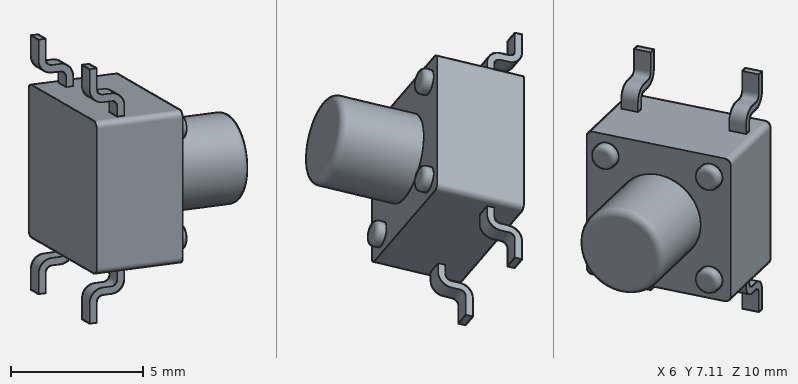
import cadquery as cq

body_width = 6.0
body_depth = 3.6
corner_radius = 0.25

button_diameter = 3.5
button_height = 3.41
button_round = 0.3

rivet_diameter = 1.0
rivet_height = 0.4
rivet_round = 0.2
rivet_offset = 2.16

lead_span = 10.0
lead_width = 0.7
lead_offset = 2.25
lead_thickness = 0.3
bend_inner_radius = 0.25
bend_outer_radius = bend_inner_radius + lead_thickness
foot_standoff = 0.1
lead_back = 1.35
shelf_inner = 3.64
lead_overlap = 0.2


def round_stud(x, z, diameter, height, edge_round):
    """Cylinder standing on the button side of the housing, with a rounded rim."""
    stud = cq.Workplane("XY").circle(diameter / 2).extrude(height)
    stud = stud.faces(">Z").edges().fillet(edge_round)
    return stud.rotate((0, 0, 0), (1, 0, 0), -90).translate((x, body_depth, z))


def upper_lead(x):
    """S-bent strip from the top wall to a foot just ahead of the housing front."""
    root = body_width / 2 - lead_overlap
    tip = lead_span / 2
    shelf_outer = shelf_inner + lead_thickness
    lead_front = lead_back - lead_thickness
    foot_front = -foot_standoff
    foot_back = foot_front + lead_thickness
    strip = (
        cq.Workplane("YZ", origin=(x - lead_width / 2, 0, 0))
        .moveTo(lead_back, root)
        .lineTo(lead_back, shelf_outer - bend_outer_radius)
        .radiusArc((lead_back - bend_outer_radius, shelf_outer), -bend_outer_radius)
        .lineTo(foot_back + bend_inner_radius, shelf_outer)
        .radiusArc((foot_back, shelf_outer + bend_inner_radius), bend_inner_radius)
        .lineTo(foot_back, tip)
        .lineTo(foot_front, tip)
        .lineTo(foot_front, shelf_inner + bend_outer_radius)
        .radiusArc((foot_front + bend_outer_radius, shelf_inner), -bend_outer_radius)
        .lineTo(lead_front - bend_inner_radius, shelf_inner)
        .radiusArc((lead_front, shelf_inner - bend_inner_radius), bend_inner_radius)
        .lineTo(lead_front, root)
        .close()
    )
    return strip.extrude(lead_width)


housing = (
    cq.Workplane("XY")
    .box(body_width, body_depth, body_width)
    .translate((0, body_depth / 2, 0))
    .edges("|Y")
    .fillet(corner_radius)
)

result = housing.union(round_stud(0, 0, button_diameter, button_height, button_round))

for side_x in (-1, 1):
    for side_z in (-1, 1):
        rivet = round_stud(
            side_x * rivet_offset, side_z * rivet_offset, rivet_diameter, rivet_height, rivet_round
        )
        result = result.union(rivet)

    lead = upper_lead(side_x * lead_offset)
    result = result.union(lead).union(lead.mirror("XY"))